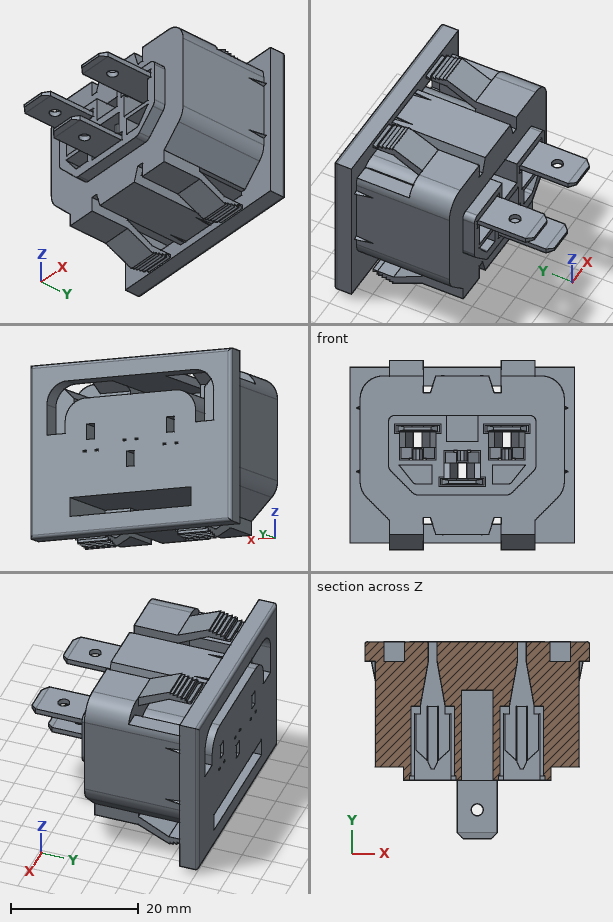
import cadquery as cq
import math


PLATE_WIDTH = 35.2
PLATE_HEIGHT = 27.53
PLATE_THICKNESS = 3.1
PLATE_EDGE_RADIUS = 0.5

HOUSING_HALF_WIDTH = 15.98
HOUSING_HALF_HEIGHT = 12.4
HOUSING_DEPTH = 16.55
HOUSING_CORNER_RADIUS = 3.55
BACK_WALL = 1.1
SIDE_WALL_TOP = 10.17
SIDE_WALL_INNER = 13.02

LATCH_INNER = 6.1
LATCH_OUTER = 11.4
LATCH_ROOT_DEPTH = 9.25
LATCH_UNDERSIDE = 10.8
LATCH_TIP_DEPTH = 0.45
LATCH_TIP_UNDERSIDE = 13.4
LATCH_KNEE_DEPTH = 4.15
LATCH_SPAN = 29.67
LATCH_PEAK = LATCH_SPAN / 2
LATCH_TIP_TOP = 13.95
TOOTH_DEPTHS = (3.98, 3.45, 2.8, 2.1, 1.48, 1.23)
TOOTH_STEP_DOWN = 0.123
TOOTH_FIRST_CUT = 0.3
TOOTH_CUT_GROWTH = 0.07
TONGUE_TOP_HALF = 4.15
NOTCH_FLOOR = 9.8
NOTCH_FLOOR_HALF = 5.0

CORE_TOP = 7.8
CORE_CORNER_RADIUS = 3.52
CORE_BOTTOM_HALF = 10.55
OPENING_HALF_WIDTH = 14.57
OPENING_RADIUS = 3.52
OPENING_FLOOR = 2.45

RIB_LENGTH = 3.0
RIB_WIDTH = 0.55
SIDE_RIB_HEIGHT = 0.6
TONGUE_RIB_HEIGHT = 0.1
SIDE_RIB_Z = (7.4, -2.57)
TONGUE_RIB_X = 3.05

BOSS_HALF_WIDTH = 11.55
BOSS_HALF_HEIGHT = 6.23
BOSS_HEIGHT = 2.08
BOSS_CHAMFER = 4.12
BOSS_TOP_RADIUS = 1.0
BOSS_CHAMFER_RADIUS = 1.4
POCKET_DEPTH = 14.08
KEY_HALF_WIDTH = 2.43
KEY_FLOOR = 2.1
CORING_TOP = -1.5
CORING_BOTTOM = -4.5
CORING_INNER = 4.75
CORING_OUTER_TOP = 9.93
CORING_OUTER_BOTTOM = 7.55
CORING_RADIUS = 0.7

OUTER_TERMINAL_X = 6.97
BLADE_Z = 4.2
BLADE_THICKNESS = 0.88
BLADE_TIP_THICKNESS = 0.5
BLADE_TAPER = 1.0
BLADE_HOLE_RADIUS = 0.9
HOLE_FROM_TIP = 4.55
OUTER_BLADE_HALF_WIDTH = 3.1
OUTER_BLADE_TIP = 27.9
CENTRE_BLADE_HALF_WIDTH = 3.17
CENTRE_BLADE_TIP = 27.77

SLOT_HALF_WIDTH = 3.63
SLOT_TOP = 4.9
SLOT_BOTTOM = 3.38
SLOT_LIP = 0.25
SLOT_LIP_DEPTH = 0.7
CAVITY_HALF_WIDTH = 2.9
CAVITY_BOTTOM = -0.75
CONTACT_TOP = 3.65
CONTACT_BOTTOM = 1.2
CONTACT_HALF_WIDTH = 0.67
FUNNEL_HALF_WIDTH = 1.95
CONTACT_DEPTH = 7.05
LEG_INNER = 0.88
LEG_OUTER = 2.6
LEG_BOTTOM = -0.5
LEG_DEPTH = 15.5
LEG_SLANT = 1.6
RIDGE_HALF_WIDTH = 0.25
RIDGE_BASE_HALF_WIDTH = 0.75
RIDGE_TOP = 0.95
RIDGE_DEPTH = 16.83
RIDGE_SLANT = 1.05
FLOOR_SLANT = 1.23
VENT_INNER = 0.8
VENT_OUTER = 1.3

BOSS_FACE = HOUSING_DEPTH + BOSS_HEIGHT
FAR = 21.12


def prism(points, depth_from, depth_to):
    """Extrude an XZ outline along -Y between two depths behind the plate."""
    sketch = cq.Workplane("XZ", origin=(0, -depth_from, 0)).polyline(points).close()
    return sketch.extrude(depth_to - depth_from)


def block(x_from, x_to, z_from, z_to, depth_from, depth_to):
    corners = [(x_from, z_from), (x_to, z_from), (x_to, z_to), (x_from, z_to)]
    return prism(corners, depth_from, depth_to)


def flip(solid):
    """Mirror top to bottom."""
    return solid.mirror("XY")


def mirrored_outline(right_half):
    """Close a half outline with its mirror image across X = 0."""
    return right_half + [(-x, z) for x, z in reversed(right_half)]


def flange_plate():
    half_width = PLATE_WIDTH / 2
    half_height = PLATE_HEIGHT / 2
    plate = block(-half_width, half_width, -half_height, half_height, -PLATE_THICKNESS, 0)
    return plate.faces(">Y").edges().fillet(PLATE_EDGE_RADIUS)


def housing_shell():
    chamfer = HOUSING_HALF_WIDTH - LATCH_OUTER
    outline = mirrored_outline([
        (LATCH_OUTER, -HOUSING_HALF_HEIGHT),
        (LATCH_OUTER, -SIDE_WALL_TOP),
        (HOUSING_HALF_WIDTH, chamfer - SIDE_WALL_TOP),
        (HOUSING_HALF_WIDTH, HOUSING_HALF_HEIGHT),
    ])
    shell = prism(outline, 0, HOUSING_DEPTH)
    return shell.edges("|Y and (<X or >X)").fillet(HOUSING_CORNER_RADIUS)


def tongue_outline():
    run = (NOTCH_FLOOR_HALF - TONGUE_TOP_HALF) / (HOUSING_HALF_HEIGHT - NOTCH_FLOOR)
    foot_half = TONGUE_TOP_HALF + run * (HOUSING_HALF_HEIGHT - LATCH_UNDERSIDE)
    return mirrored_outline([(foot_half, LATCH_UNDERSIDE), (TONGUE_TOP_HALF, HOUSING_HALF_HEIGHT)])


def notch(side):
    outline = [
        (side * LATCH_INNER, NOTCH_FLOOR),
        (side * NOTCH_FLOOR_HALF, NOTCH_FLOOR),
        (side * TONGUE_TOP_HALF, HOUSING_HALF_HEIGHT),
        (side * TONGUE_TOP_HALF, FAR),
        (side * LATCH_INNER, FAR),
    ]
    return prism(outline, 0, HOUSING_DEPTH)


def above_core(side_steps, depth_from, depth_to):
    """Space above the rounded core; the side steps run outwards on the +X side."""
    shoulder = CORE_TOP - CORE_CORNER_RADIUS
    flat_half = LATCH_OUTER - CORE_CORNER_RADIUS
    diagonal = CORE_CORNER_RADIUS * math.sqrt(0.5)
    left_steps = [(-x, z) for x, z in side_steps]
    return (
        cq.Workplane("XZ", origin=(0, -depth_from, 0))
        .moveTo(-LATCH_OUTER, shoulder)
        .threePointArc((-flat_half - diagonal, shoulder + diagonal), (-flat_half, CORE_TOP))
        .lineTo(flat_half, CORE_TOP)
        .threePointArc((flat_half + diagonal, shoulder + diagonal), (LATCH_OUTER, shoulder))
        .polyline(side_steps + [(FAR, FAR), (-FAR, FAR)] + left_steps[::-1], includeCurrent=True)
        .close()
        .extrude(depth_to - depth_from)
    )


def top_trench():
    """Space under the upper latches, with sloped inner edges on the side walls."""
    slope_end = SIDE_WALL_TOP - (SIDE_WALL_INNER - LATCH_OUTER)
    side_steps = [(LATCH_OUTER, slope_end), (SIDE_WALL_INNER, SIDE_WALL_TOP), (FAR, SIDE_WALL_TOP)]
    return above_core(side_steps, 0, LATCH_ROOT_DEPTH)


def bottom_trench():
    """Space above the lower latches, between the chamfered sides of the shell."""
    outer = block(-FAR, FAR, -FAR, -SIDE_WALL_TOP, 0, LATCH_ROOT_DEPTH)
    inner = block(-CORE_BOTTOM_HALF, CORE_BOTTOM_HALF, -FAR, -CORE_TOP, 0, LATCH_ROOT_DEPTH)
    return outer.union(inner)


def plate_openings():
    """Rounded opening above the core and a plain one below it."""
    window = (
        cq.Workplane("XZ", origin=(0, PLATE_THICKNESS, 0))
        .rect(2 * OPENING_HALF_WIDTH, 2 * LATCH_UNDERSIDE)
        .extrude(PLATE_THICKNESS)
        .edges("|Y")
        .fillet(OPENING_RADIUS)
    )
    side_steps = [(LATCH_OUTER, OPENING_FLOOR), (FAR, OPENING_FLOOR)]
    upper = window.intersect(above_core(side_steps, -PLATE_THICKNESS, 0))
    lower = block(-CORE_BOTTOM_HALF, CORE_BOTTOM_HALF, -LATCH_UNDERSIDE, -CORE_TOP, -PLATE_THICKNESS, 0)
    return upper.union(lower)


def latch(x_from):
    """Springy arm with a toothed end; its profile lies in the YZ plane."""
    profile = [
        (-LATCH_TIP_DEPTH, LATCH_TIP_UNDERSIDE),
        (-LATCH_KNEE_DEPTH, LATCH_TIP_UNDERSIDE),
        (-LATCH_ROOT_DEPTH, LATCH_UNDERSIDE),
        (-LATCH_ROOT_DEPTH, HOUSING_HALF_HEIGHT),
    ]
    for tooth, depth in enumerate(TOOTH_DEPTHS):
        peak = LATCH_PEAK - tooth * TOOTH_STEP_DOWN
        cut = TOOTH_FIRST_CUT + tooth * TOOTH_CUT_GROWTH
        profile.append((-depth, peak))
        profile.append((-depth, peak - cut))
    profile.append((-LATCH_TIP_DEPTH, LATCH_TIP_TOP))
    plane = cq.Workplane("YZ", origin=(x_from, 0, 0))
    return plane.polyline(profile).close().extrude(LATCH_OUTER - LATCH_INNER)


def crush_rib(height):
    """Three-sided spike on a face at Z = 0, thinning out to a point away from the plate."""
    left = (-RIB_WIDTH / 2, 0, 0)
    right = (RIB_WIDTH / 2, 0, 0)
    crest = (0, 0, height)
    point = (0, -RIB_LENGTH, 0)
    corners = [(left, crest, right), (left, right, point), (right, crest, point), (crest, left, point)]
    faces = []
    for triangle in corners:
        boundary = cq.Wire.makePolygon([cq.Vector(corner) for corner in triangle], close=True)
        faces.append(cq.Face.makeFromWires(boundary))
    return cq.Workplane(cq.Solid.makeSolid(cq.Shell.makeShell(faces)))


def terminal_boss():
    outline = mirrored_outline([
        (BOSS_HALF_WIDTH - BOSS_CHAMFER, -BOSS_HALF_HEIGHT),
        (BOSS_HALF_WIDTH, BOSS_CHAMFER - BOSS_HALF_HEIGHT),
        (BOSS_HALF_WIDTH, BOSS_HALF_HEIGHT),
    ])
    boss = prism(outline, HOUSING_DEPTH, BOSS_FACE)
    boss = boss.edges("|Y and >Z").fillet(BOSS_TOP_RADIUS)
    lower_corners = cq.selectors.BoxSelector((-FAR, -FAR, -FAR), (FAR, FAR, 0))
    return boss.edges("|Y").edges(lower_corners).fillet(BOSS_CHAMFER_RADIUS)


def coring_pockets():
    pocket_end = BOSS_FACE - POCKET_DEPTH
    pockets = block(-KEY_HALF_WIDTH, KEY_HALF_WIDTH, KEY_FLOOR, BOSS_HALF_HEIGHT, pocket_end, BOSS_FACE)
    for side in (-1, 1):
        outline = [
            (side * CORING_INNER, CORING_TOP),
            (side * CORING_OUTER_TOP, CORING_TOP),
            (side * CORING_OUTER_BOTTOM, CORING_BOTTOM),
            (side * CORING_INNER, CORING_BOTTOM),
        ]
        pocket = prism(outline, pocket_end, BOSS_FACE)
        lower_outer_edge = cq.selectors.NearestToPointSelector(
            (side * CORING_OUTER_BOTTOM, -(pocket_end + BOSS_FACE) / 2, CORING_BOTTOM)
        )
        pockets = pockets.union(pocket.edges("|Y").edges(lower_outer_edge).fillet(CORING_RADIUS))
    return pockets


def plan_prism(outline, z_from, z_to):
    """Extrude an XY outline between two heights."""
    return cq.Workplane("XY", origin=(0, 0, z_from)).polyline(outline).close().extrude(z_to - z_from)


def contact_leg(side):
    """Contact spring leg with its end slanted outwards."""
    outline = [
        (side * LEG_INNER, -CONTACT_DEPTH),
        (side * LEG_INNER, -LEG_DEPTH),
        (side * LEG_OUTER, LEG_SLANT - LEG_DEPTH),
        (side * LEG_OUTER, -CONTACT_DEPTH),
    ]
    return plan_prism(outline, LEG_BOTTOM, CONTACT_BOTTOM)


def terminal_cavity():
    """T-shaped cavity narrowing to the contact slot in the mating face."""
    lip_end = BOSS_FACE - SLOT_LIP_DEPTH
    mouth = block(-SLOT_HALF_WIDTH, SLOT_HALF_WIDTH, SLOT_BOTTOM, SLOT_TOP, lip_end, BOSS_FACE)
    slot_half = SLOT_HALF_WIDTH - SLOT_LIP
    slot_bottom = SLOT_BOTTOM + SLOT_LIP
    slot_top = SLOT_TOP - SLOT_LIP
    slot = block(-slot_half, slot_half, slot_bottom, slot_top, CONTACT_DEPTH, BOSS_FACE)
    floor_profile = [
        (-BOSS_FACE, CAVITY_BOTTOM),
        (-CONTACT_DEPTH, CAVITY_BOTTOM),
        (-CONTACT_DEPTH, CONTACT_BOTTOM),
        (-CONTACT_DEPTH - FLOOR_SLANT, CONTACT_TOP),
        (-BOSS_FACE, CONTACT_TOP),
    ]
    cavity = cq.Workplane("YZ").polyline(floor_profile).close().extrude(CAVITY_HALF_WIDTH, both=True)
    for side in (-1, 1):
        cavity = cavity.cut(contact_leg(side))
        vent = sorted((side * VENT_INNER, side * VENT_OUTER))
        cavity = cavity.union(block(*vent, CAVITY_BOTTOM, LEG_BOTTOM, -PLATE_THICKNESS, CONTACT_DEPTH))
    ridge_outline = mirrored_outline([
        (RIDGE_BASE_HALF_WIDTH, -CONTACT_DEPTH),
        (RIDGE_BASE_HALF_WIDTH, RIDGE_SLANT - RIDGE_DEPTH),
        (RIDGE_HALF_WIDTH, -RIDGE_DEPTH),
    ])
    ridge = plan_prism(ridge_outline, CAVITY_BOTTOM, RIDGE_TOP)
    funnel_outline = mirrored_outline([
        (FUNNEL_HALF_WIDTH, -BOSS_FACE),
        (FUNNEL_HALF_WIDTH, -CONTACT_DEPTH),
        (CONTACT_HALF_WIDTH, 0),
        (CONTACT_HALF_WIDTH, PLATE_THICKNESS),
    ])
    funnel = plan_prism(funnel_outline, CONTACT_BOTTOM, CONTACT_TOP)
    return mouth.union(slot).union(cavity.cut(ridge)).union(funnel)


def blade(half_width, tip_depth):
    """Flat terminal tab with a tapered, chamfered tip and a hole."""
    shoulder = BLADE_TAPER - tip_depth
    tip_half = half_width - BLADE_TAPER
    plan = mirrored_outline([
        (half_width, -CONTACT_DEPTH),
        (half_width, shoulder),
        (tip_half, -tip_depth),
    ])
    thickness = [
        (-CONTACT_DEPTH, BLADE_THICKNESS / 2),
        (shoulder, BLADE_THICKNESS / 2),
        (-tip_depth, BLADE_TIP_THICKNESS / 2),
    ]
    thickness += [(y, -z) for y, z in reversed(thickness)]
    tab = cq.Workplane("XY").polyline(plan).close().extrude(BLADE_THICKNESS, both=True)
    tab = tab.intersect(cq.Workplane("YZ").polyline(thickness).close().extrude(half_width, both=True))
    hole = (
        cq.Workplane("XY")
        .center(0, HOLE_FROM_TIP - tip_depth)
        .circle(BLADE_HOLE_RADIUS)
        .extrude(BLADE_THICKNESS, both=True)
    )
    return tab.cut(hole).translate((0, 0, BLADE_Z))


housing = housing_shell()
housing = housing.cut(top_trench())
housing = housing.cut(bottom_trench())
tongue = prism(tongue_outline(), 0, HOUSING_DEPTH)
undercut = block(-LATCH_INNER, LATCH_INNER, CORE_TOP, LATCH_UNDERSIDE, 0, HOUSING_DEPTH - BACK_WALL)
notches = notch(-1).union(notch(1)).union(undercut)
latches = latch(LATCH_INNER).union(latch(-LATCH_OUTER))
for tongue_rib_x in (-TONGUE_RIB_X, TONGUE_RIB_X):
    rib = crush_rib(TONGUE_RIB_HEIGHT).translate((tongue_rib_x, 0, HOUSING_HALF_HEIGHT))
    tongue = tongue.union(rib)
housing = housing.cut(notches).cut(flip(notches))
housing = housing.union(tongue).union(flip(tongue)).union(latches).union(flip(latches))

for rib_z in SIDE_RIB_Z:
    for side in (-1, 1):
        rib = crush_rib(SIDE_RIB_HEIGHT).rotate((0, 0, 0), (0, 1, 0), side * 90)
        housing = housing.union(rib.translate((side * HOUSING_HALF_WIDTH, 0, rib_z)))

plate = flange_plate().cut(plate_openings())

result = plate.union(housing).union(terminal_boss()).cut(coring_pockets())
cavity = terminal_cavity()
outer_blade = blade(OUTER_BLADE_HALF_WIDTH, OUTER_BLADE_TIP)
for terminal_x in (-OUTER_TERMINAL_X, OUTER_TERMINAL_X):
    result = result.cut(cavity.translate((terminal_x, 0, 0)))
    result = result.union(outer_blade.translate((terminal_x, 0, 0)))
result = result.cut(flip(cavity)).union(flip(blade(CENTRE_BLADE_HALF_WIDTH, CENTRE_BLADE_TIP)))